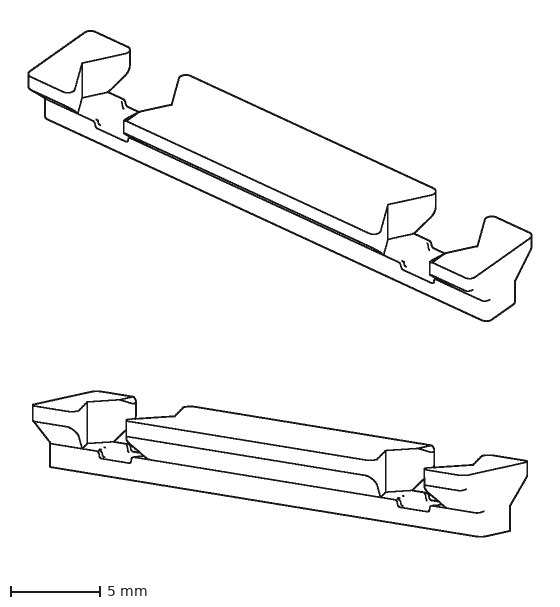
import cadquery as cq
import math

length = 32.0
width = 5.7
height = 3.7

stem_width = 2.72
stem_height = 1.35
flare_height = (width - stem_width) / 2
corner_radius = 0.4

first_gap_center = 5.0
gap_pitch = 22.0
gap_centers = (first_gap_center, first_gap_center + gap_pitch)
gap_half_length = 3.215
point_half_angle = 60
side_half_length = gap_half_length - width / 2 / math.tan(math.radians(point_half_angle))

dish_mid_radius = 1.6
dish_blend = 0.2
opening_half_length = 1.2
dish_floor = stem_height - 2 * dish_blend

flat_length = corner_radius / math.tan(math.radians(point_half_angle / 2))
flat_angle = 35


def rail_body():
    half_stem = stem_width / 2
    half_width = width / 2
    flare_top = stem_height + flare_height
    return (
        cq.Workplane("YZ")
        .moveTo(-half_stem, 0)
        .lineTo(half_stem, 0)
        .lineTo(half_stem, stem_height)
        .lineTo(half_width, flare_top)
        .lineTo(half_width, height)
        .lineTo(-half_width, height)
        .lineTo(-half_width, flare_top)
        .lineTo(-half_stem, stem_height)
        .close()
        .extrude(length)
    )


def round_ends(body):
    """Round the side edges of both end faces, following the flared section."""
    side_edges = []
    for edge in body.faces("<X or >X").edges().vals():
        if abs(edge.Center().y) > stem_width / 4:
            side_edges.append(edge)
    return body.newObject(side_edges).fillet(corner_radius)


def gap_cutter(center):
    """Hexagonal gap: two points on the centreline, open at both sides."""
    half_width = width / 2
    return (
        cq.Workplane("XY", origin=(center, 0, stem_height))
        .polyline([
            (-gap_half_length, 0),
            (-side_half_length, half_width),
            (side_half_length, half_width),
            (gap_half_length, 0),
            (side_half_length, -half_width),
            (-side_half_length, -half_width),
        ])
        .close()
        .extrude(height - stem_height)
    )


def recess_half_profile(mid_radius):
    """Half section of a recess whose wall is an S-curve from the floor to the stem top."""
    middle = dish_floor + dish_blend
    near = dish_blend * math.sqrt(0.5)
    far = dish_blend - near
    return (
        cq.Workplane("XZ")
        .moveTo(0, dish_floor)
        .lineTo(mid_radius - dish_blend, dish_floor)
        .threePointArc((mid_radius - far, dish_floor + far), (mid_radius, middle))
        .threePointArc((mid_radius + far, middle + near), (mid_radius + dish_blend, stem_height))
        .lineTo(0, stem_height)
        .close()
    )


def dish_cutter(center):
    """Round recess on the stem centreline."""
    return (
        recess_half_profile(dish_mid_radius)
        .revolve(360, (0, 0, 0), (0, 1, 0))
        .translate((center, 0, 0))
    )


def side_opening_cutter(center):
    """Straight channel across the stem that opens the dish to both sides."""
    half = recess_half_profile(opening_half_length).extrude(stem_width / 2, both=True)
    return half.union(half.mirror("YZ")).translate((center, 0, 0))


def corner_flat_cutter(center):
    """Wedge that slopes the top down toward the gap."""
    corner = center + side_half_length
    return (
        cq.Workplane("XZ")
        .moveTo(corner + flat_length, height)
        .lineTo(corner, height)
        .lineTo(corner, height - flat_length * math.tan(math.radians(flat_angle)))
        .close()
        .extrude(width / 2)
    )


result = round_ends(rail_body())
for gap_center in gap_centers:
    result = result.cut(gap_cutter(gap_center))

side_tolerance = 0.003

wing_tips = [
    edge
    for edge in result.edges("|Z").vals()
    if abs(abs(edge.Center().y) - width / 2) < side_tolerance
    and min(abs(edge.Center().x - center) for center in gap_centers) < gap_half_length
]
result = result.newObject(wing_tips).fillet(corner_radius)

for gap_center in gap_centers:
    result = result.cut(dish_cutter(gap_center))
    result = result.cut(side_opening_cutter(gap_center))
    result = result.cut(corner_flat_cutter(gap_center))